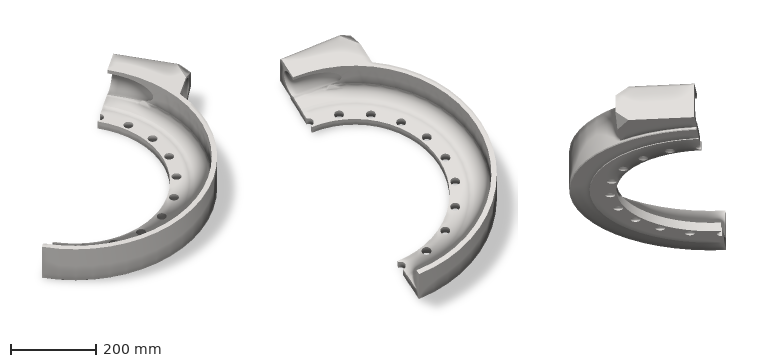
import cadquery as cq

height = 99.0
outer_radius = 333.0
wall_radius = 320.0
bore_radius = 222.0
corner_fillet = 9.0
turn_angle = -45.0

floor_outer_height = 24.5
floor_inner_height = 22.0
ramp_outer_radius = 278.5
ramp_inner_radius = 267.5
pad_radius = 285.0
pad_depth = 2.0
rim_chamfer = 2.0

hole_diameter = 23.0
hole_circle_radius = 238.0
holes_per_turn = 20

block_reach = 387.0
block_length = 186.0
block_bottom = 8.5
block_edge_fillet = 11.0
corner_cut_x = 50.0
corner_cut_y = 38.0
corner_cut_z = 25.5
bottom_cut_x = 50.0
bottom_cut_y = 31.0
bottom_cut_z = 24.0

passage_diameter = 69.0
passage_offset = 333.0
passage_height = 56.5


def make_half_ring():
    """Revolve the wall, floor and underside section through half a turn."""
    section = (
        cq.Workplane("XZ")
        .moveTo(bore_radius, 0)
        .lineTo(pad_radius, 0)
        .lineTo(pad_radius, pad_depth)
        .lineTo(outer_radius - rim_chamfer, pad_depth)
        .lineTo(outer_radius, pad_depth + rim_chamfer)
        .lineTo(outer_radius, height)
        .lineTo(wall_radius, height)
        .lineTo(wall_radius, floor_outer_height + corner_fillet)
        .radiusArc((wall_radius - corner_fillet, floor_outer_height), corner_fillet)
        .lineTo(ramp_outer_radius, floor_outer_height)
        .lineTo(ramp_inner_radius, floor_inner_height)
        .lineTo(bore_radius, floor_inner_height)
        .close()
    )
    return section.revolve(180, (0, 0, 0), (0, 1, 0))


def make_corner_cut(corner_z, size_x, size_y, size_z):
    """Tetrahedron that slopes off one far corner of the block; signed size_z points inward."""
    corner = cq.Vector(-block_reach, block_length, corner_z)
    along_x = corner + cq.Vector(size_x, 0, 0)
    along_y = corner - cq.Vector(0, size_y, 0)
    along_z = corner + cq.Vector(0, 0, size_z)
    triangles = [
        (corner, along_x, along_y),
        (corner, along_y, along_z),
        (corner, along_z, along_x),
        (along_x, along_y, along_z),
    ]
    faces = [cq.Face.makeFromWires(cq.Wire.makePolygon(points, close=True)) for points in triangles]
    return cq.Solid.makeSolid(cq.Shell.makeShell(faces))


def make_inlet_block():
    """Block outside the ring wall, with a rounded top edge and two sloped corners."""
    block = (
        cq.Workplane("XY", origin=(0, 0, block_bottom))
        .rect(-block_reach, block_length, centered=False)
        .extrude(height - block_bottom)
        .edges("<X and >Z")
        .fillet(block_edge_fillet)
    )
    block = block.cut(make_corner_cut(height, corner_cut_x, corner_cut_y, -corner_cut_z))
    block = block.cut(make_corner_cut(block_bottom, bottom_cut_x, bottom_cut_y, bottom_cut_z))
    middle_of_wall = (outer_radius + wall_radius) / 2
    ring_space = cq.Workplane("XY").circle(middle_of_wall).extrude(height)
    return block.cut(ring_space)


def make_passage():
    """Straight passage through the block, opening into the ring."""
    return (
        cq.Workplane("XZ", origin=(-passage_offset, 0, passage_height))
        .circle(passage_diameter / 2)
        .extrude(-block_length)
    )


def make_bolt_holes():
    return (
        cq.Workplane("XY")
        .polarArray(hole_circle_radius, 0, 360, holes_per_turn)
        .circle(hole_diameter / 2)
        .extrude(height)
    )


body = make_half_ring().union(make_inlet_block())
body = body.cut(make_passage()).cut(make_bolt_holes())
result = body.rotate((0, 0, 0), (0, 0, 1), turn_angle)